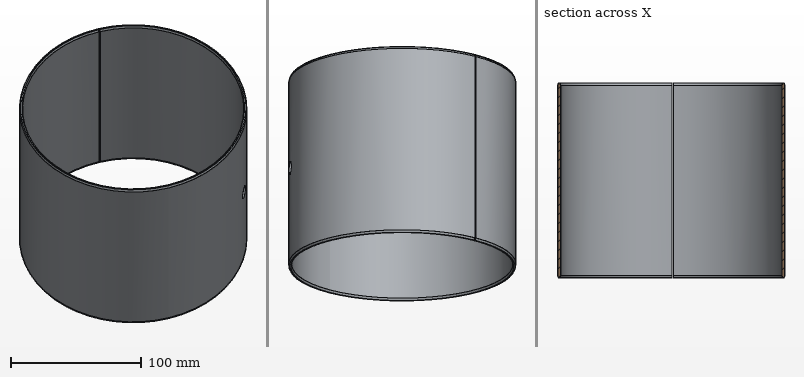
import cadquery as cq

outer_diameter = 175.0
height = 150.0
wall = 2.5
chamfer_depth = 0.7
chamfer_height = 1.8
slit_width = 1.0
slit_start_y = 0.5
hole_diameter = 10.0
hole_angle = 59.0

outer_radius = outer_diameter / 2
inner_radius = outer_radius - wall


def make_sleeve():
    """Revolved wall section with both edges of each rim chamfered, longer along the axis."""
    top_chamfer_z = height - chamfer_height
    section = (
        cq.Workplane("XZ")
        .moveTo(inner_radius + chamfer_depth, 0)
        .lineTo(outer_radius - chamfer_depth, 0)
        .lineTo(outer_radius, chamfer_height)
        .lineTo(outer_radius, top_chamfer_z)
        .lineTo(outer_radius - chamfer_depth, height)
        .lineTo(inner_radius + chamfer_depth, height)
        .lineTo(inner_radius, top_chamfer_z)
        .lineTo(inner_radius, chamfer_height)
        .close()
    )
    return section.revolve(360, (0, 0, 0), (0, 1, 0))


def make_slit_cutter():
    """Full-height block that splits the wall on the -X side."""
    cutter = cq.Workplane("XY").box(outer_radius, slit_width, height, centered=False)
    return cutter.translate((-outer_radius, slit_start_y, 0))


def make_hole_cutter():
    """Radial pin through the wall at mid height."""
    pin = cq.Workplane("YZ").center(0, height / 2).circle(hole_diameter / 2).extrude(outer_diameter)
    return pin.rotate((0, 0, 0), (0, 0, 1), hole_angle)


result = make_sleeve().cut(make_slit_cutter()).cut(make_hole_cutter())